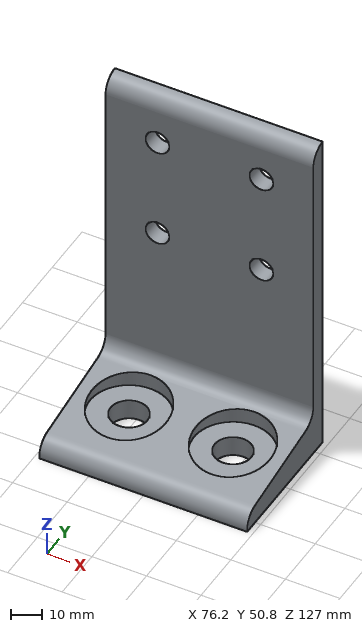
import cadquery as cq
import math

width = 76.2
depth = 50.8
height = 127

plate_thickness = 6.4
round_radius = 6.4
foot_slope = math.radians(10)
toe_flat_height = 1.0

hole_spacing_x = 38.1
plate_hole_diameter = 8.6
plate_hole_spacing_z = 38.1
plate_hole_top_margin = 19
foot_hole_diameter = 13.5
counterbore_diameter = 28.6
counterbore_floor_z = 7.6
foot_hole_y = depth / 2

hole_xs = (-hole_spacing_x / 2, hole_spacing_x / 2)


def arc_point(center, radius, angle):
    return (center[0] + radius * math.cos(angle), center[1] + radius * math.sin(angle))


def make_body():
    """Extrude the L profile; the back face lies at Y = depth and the toe at Y = 0."""
    plate_front_y = depth - plate_thickness

    toe_center = (round_radius, toe_flat_height)
    slope_normal = math.pi / 2 + foot_slope
    toe_end = arc_point(toe_center, round_radius, slope_normal)
    toe_middle = arc_point(toe_center, round_radius, (math.pi + slope_normal) / 2)

    fillet_center_y = plate_front_y - round_radius
    fillet_start_y = fillet_center_y + round_radius * math.sin(foot_slope)
    fillet_start_z = toe_end[1] + (fillet_start_y - toe_end[0]) * math.tan(foot_slope)
    fillet_center = (fillet_center_y, fillet_start_z + round_radius * math.cos(foot_slope))
    fillet_middle = arc_point(fillet_center, round_radius, (foot_slope - math.pi / 2) / 2)

    top_center = (plate_front_y + round_radius, height - round_radius)
    top_middle = arc_point(top_center, round_radius, math.radians(135))

    return (
        cq.Workplane("YZ", origin=(-width / 2, 0, 0))
        .moveTo(0, 0)
        .lineTo(0, toe_flat_height)
        .threePointArc(toe_middle, toe_end)
        .lineTo(fillet_start_y, fillet_start_z)
        .threePointArc(fillet_middle, (plate_front_y, fillet_center[1]))
        .lineTo(plate_front_y, top_center[1])
        .threePointArc(top_middle, (depth, height))
        .lineTo(depth, 0)
        .close()
        .extrude(width)
    )


def make_plate_holes():
    upper_z = height - plate_hole_top_margin
    points = [(x, z) for x in hole_xs for z in (upper_z, upper_z - plate_hole_spacing_z)]
    return (
        cq.Workplane("XZ", origin=(0, depth, 0))
        .pushPoints(points)
        .circle(plate_hole_diameter / 2)
        .extrude(depth)
    )


def make_foot_holes():
    points = [(x, foot_hole_y) for x in hole_xs]
    through_holes = (
        cq.Workplane("XY").pushPoints(points).circle(foot_hole_diameter / 2).extrude(height)
    )
    counterbores = (
        cq.Workplane("XY", origin=(0, 0, counterbore_floor_z))
        .pushPoints(points)
        .circle(counterbore_diameter / 2)
        .extrude(height)
    )
    return through_holes.union(counterbores)


result = make_body().cut(make_plate_holes()).cut(make_foot_holes())